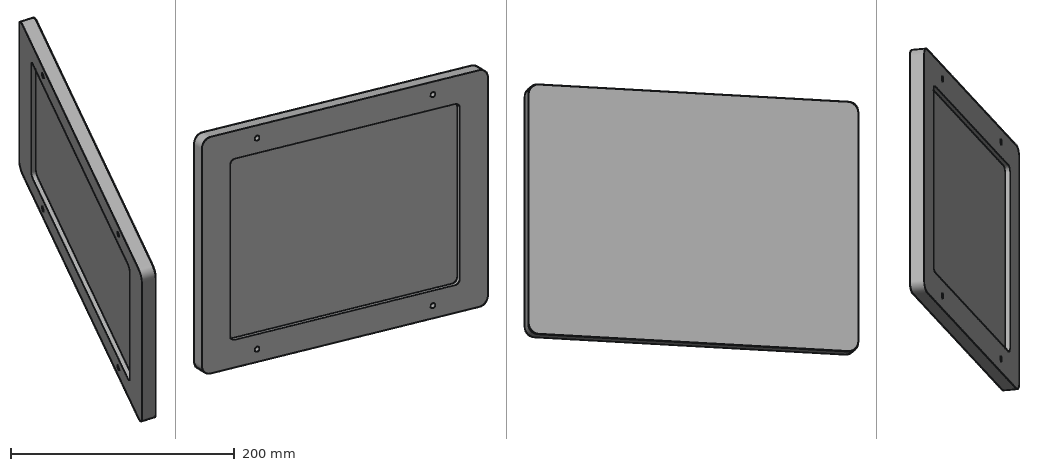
import cadquery as cq

width = 304.8
thickness = 13.7
height = 229.2
corner_radius = 9.5
front_chamfer = 0.15
back_chamfer = 0.5

pocket_width = 244.5
pocket_height = 175.3
pocket_corner_radius = 5.2
pocket_depth = 4.5

hole_diameter = 5.0
hole_spacing_x = 187.0
hole_spacing_z = 204.2
hole_depth = 9.0


def make_plate():
    """Rounded plate centred on the origin, with a small chamfer around each face."""
    plate = cq.Workplane("XY").box(width, thickness, height)
    plate = plate.edges("|Y").fillet(corner_radius)
    plate = plate.faces(">Y").edges().chamfer(back_chamfer)
    return plate.faces("<Y").edges().chamfer(front_chamfer)


def front_plane():
    """Sketch plane on the front face; its normal points out of the plate."""
    return cq.Workplane("XZ", origin=(0, -thickness / 2, 0))


def make_pocket():
    """Cutter for the pocket, with rounded corners."""
    pocket = front_plane().rect(pocket_width, pocket_height).extrude(-pocket_depth)
    return pocket.edges("|Y").fillet(pocket_corner_radius)


def make_holes():
    """Cutters for the holes, one at each corner of a rectangle."""
    centres = front_plane().rect(hole_spacing_x, hole_spacing_z, forConstruction=True).vertices()
    return centres.circle(hole_diameter / 2).extrude(-hole_depth)


result = make_plate().cut(make_pocket()).cut(make_holes())